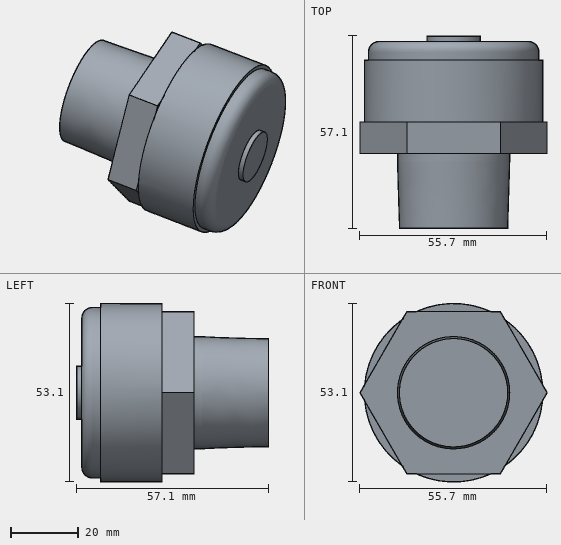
import cadquery as cq
import math

total_length = 57.15
spigot_diameter = 33.4
tip_diameter = 32.2
hex_across_corners = 55.7
body_diameter = 53.15
cap_diameter = 50.8
cap_edge_radius = 3.2
button_diameter = 15.9

taper_length = 19.75
collar_length = 2.4
hex_length = 9.5
body_length = 18.35
cap_length = 5.6

tip_start = -total_length / 2
collar_start = tip_start + taper_length
hex_start = collar_start + collar_length
body_start = hex_start + hex_length
cap_start = body_start + body_length
button_start = cap_start + cap_length
button_length = total_length / 2 - button_start


def plane_at(y):
    """Plane facing +Y, with its local X along the part's X axis."""
    return cq.Plane(origin=(0, y, 0), xDir=(1, 0, 0), normal=(0, 1, 0))


def cylinder(diameter, start, length):
    return cq.Workplane(plane_at(start)).circle(diameter / 2).extrude(length)


taper_angle = math.degrees(math.atan((spigot_diameter - tip_diameter) / 2 / taper_length))
spigot = cq.Workplane(plane_at(tip_start)).circle(tip_diameter / 2).extrude(taper_length, taper=-taper_angle)
collar = cylinder(spigot_diameter, collar_start, collar_length)

hexagon = cq.Workplane(plane_at(hex_start)).polygon(6, hex_across_corners).extrude(hex_length)

body = cylinder(body_diameter, body_start, body_length)
cap = cylinder(cap_diameter, cap_start, cap_length).faces(">Y").edges().fillet(cap_edge_radius)
button = cylinder(button_diameter, button_start, button_length)

result = spigot.union(collar).union(hexagon).union(body).union(cap).union(button)